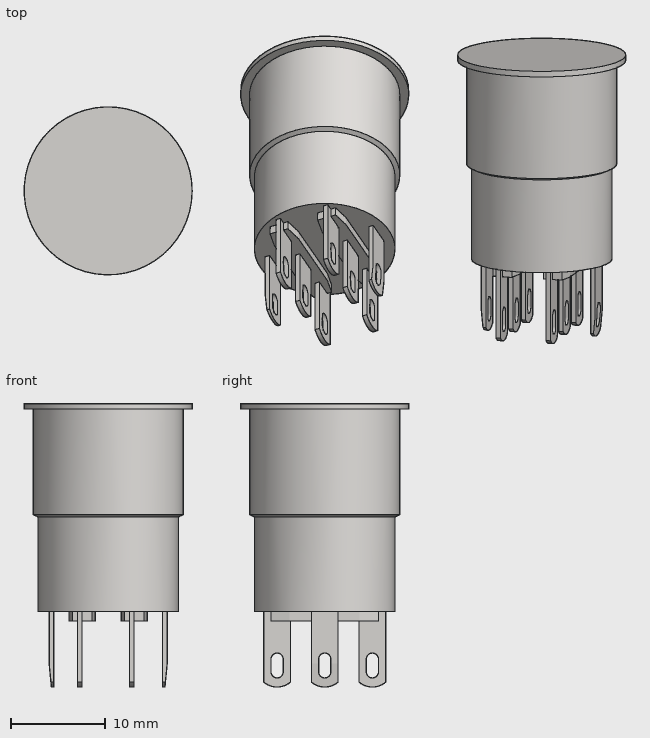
import cadquery as cq

total_height = 30.0
flange_thickness = 0.6
body_bottom = 7.98
step_height = 18.25
step_chamfer = 0.25

flange_diameter = 17.8
upper_diameter = 15.9
lower_diameter = 14.88

block_bottom = 7.0
block_width = 2.8
block_length = 11.35
block_center_x = 2.75
bevel_x = 0.35
bevel_y = 1.95

blade_thickness = 0.5
blade_tip_rise = 0.55
blade_width = 2.85
slot_width = 1.25
slot_bottom = 1.0
slot_top = 3.6

row_left_x = -3.0
row_right_x = 2.5
row_pitch = 5.05
outer_blade_x = 6.0

taper_top = 2.5
taper_depth = 0.25


def make_body():
    """Stepped round body with a thin flange on top, revolved about Z."""
    flange_bottom = total_height - flange_thickness
    step_bottom = step_height - step_chamfer
    return (
        cq.Workplane("XZ")
        .moveTo(0, body_bottom)
        .lineTo(lower_diameter / 2, body_bottom)
        .lineTo(lower_diameter / 2, step_bottom)
        .lineTo(upper_diameter / 2, step_height)
        .lineTo(upper_diameter / 2, flange_bottom)
        .lineTo(flange_diameter / 2, flange_bottom)
        .lineTo(flange_diameter / 2, total_height)
        .lineTo(0, total_height)
        .close()
        .revolve(360, (0, 0), (0, 1))
    )


def make_block(center_x):
    """Long block with four bevelled corners, hanging below the body."""
    half_width = block_width / 2
    half_length = block_length / 2
    flat_x = half_width - bevel_x
    flat_y = half_length - bevel_y
    outline = [
        (flat_x, -half_length),
        (half_width, -flat_y),
        (half_width, flat_y),
        (flat_x, half_length),
        (-flat_x, half_length),
        (-half_width, flat_y),
        (-half_width, -flat_y),
        (-flat_x, -half_length),
    ]
    return (
        cq.Workplane("XY", origin=(center_x, 0, block_bottom))
        .polyline(outline)
        .close()
        .extrude(body_bottom - block_bottom)
    )


def make_blade(center_x, center_y):
    """Flat terminal in a YZ plane with a rounded tip and a vertical slot."""
    half_width = blade_width / 2
    profile = cq.Workplane("YZ", origin=(center_x, center_y, 0))
    blade = (
        profile
        .moveTo(-half_width, body_bottom)
        .lineTo(-half_width, blade_tip_rise)
        .threePointArc((0, 0), (half_width, blade_tip_rise))
        .lineTo(half_width, body_bottom)
        .close()
        .extrude(blade_thickness / 2, both=True)
    )
    slot = (
        profile
        .center(0, (slot_bottom + slot_top) / 2)
        .slot2D(slot_top - slot_bottom, slot_width, 90)
        .extrude(blade_thickness, both=True)
    )
    return blade.cut(slot)


def make_taper_cut(side):
    """Wedge that thins the outward face of an outer terminal towards its tip."""
    outer_x = side * (outer_blade_x + blade_thickness / 2)
    return (
        cq.Workplane("XZ")
        .moveTo(outer_x, taper_top)
        .lineTo(outer_x, 0)
        .lineTo(outer_x - side * taper_depth, 0)
        .close()
        .extrude(blade_width, both=True)
    )


result = make_body()

for side in (-1, 1):
    result = result.union(make_block(side * block_center_x))

    outer_blade = make_blade(side * outer_blade_x, 0)
    result = result.union(outer_blade.cut(make_taper_cut(side)))

for row_x in (row_left_x, row_right_x):
    for row_y in (-row_pitch, 0, row_pitch):
        result = result.union(make_blade(row_x, row_y))